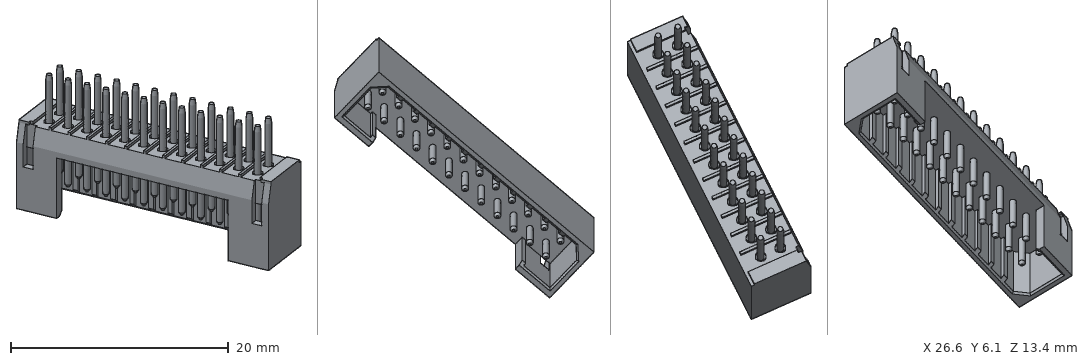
import cadquery as cq


length = 26.6
depth = 6.1
deck_height = 8.6
bevel_start = 6.75
bevel_run = 0.45

pins_per_row = 12
row_span = 22.0
pin_pitch = row_span / (pins_per_row - 1)
pin_radius = 0.32
pin_top = 13.4
shoulder_height = 12.85
shaft_bottom = 2.7
pin_bottom = 2.4
top_end_radius = 0.25
bottom_end_radius = 0.1
pin_recess_diameter = 0.98
pin_recess_depth = 0.27

pad_height = 0.3
pad_length = 1.33
pad_back_gap = 0.32
rib_height = 0.27
rib_width = 0.27
rib_back_gap = 0.45

ceiling = 6.17
front_wall = 0.72
back_wall = 0.6
end_wall = 0.6
corner_chamfer = 1.1
mouth_flare = 0.19
mouth_height = 0.8
mouth_taper = 45.0
back_rib_depth = 0.32
narrow_back_rib = 0.43
wide_back_rib = 0.53
window_rib_width = 0.43
window_rib_depth = 0.25

window_length = 18.1
slot_outer_margin = 0.72
slot_width = 1.05
slot_bottom = 4.42
slot_depth = 0.72
pad_notch_margin = 1.06
pad_notch_depth = 0.77


def block(x0, x1, y0, y1, z0, z1):
    """Box between two opposite corners."""
    return cq.Workplane("XY").box(x1 - x0, y1 - y0, z1 - z0, centered=False).translate((x0, y0, z0))


def both_ends(shape):
    """The shape together with its mirror image at the other end of the part."""
    return shape.union(shape.mirror("YZ"))


def gap_positions():
    """X positions midway between neighbouring pin columns."""
    middle = (pins_per_row - 2) / 2
    return [(i - middle) * pin_pitch for i in range(pins_per_row - 1)]


def make_housing():
    """Solid block whose front top edge is bevelled."""
    return (
        cq.Workplane("YZ")
        .moveTo(0, 0)
        .lineTo(depth, 0)
        .lineTo(depth, deck_height)
        .lineTo(bevel_run, deck_height)
        .lineTo(0, bevel_start)
        .close()
        .extrude(length / 2, both=True)
    )


def cavity_outline():
    """Rectangle with both rear corners chamfered."""
    half = length / 2 - end_wall
    rear = depth - back_wall
    corners = [
        (-half, front_wall),
        (half, front_wall),
        (half, rear - corner_chamfer),
        (half - corner_chamfer, rear),
        (corner_chamfer - half, rear),
        (-half, rear - corner_chamfer),
    ]
    return cq.Workplane("XY").polyline(corners).close()


def make_back_ribs():
    """Guide ribs on the rear wall, alternately wide and narrow."""
    rear = depth - back_wall
    ribs = cq.Workplane("XY")
    for i, x in enumerate(gap_positions()):
        width = wide_back_rib if i % 2 == 0 else narrow_back_rib
        ribs = ribs.add(block(x - width / 2, x + width / 2, rear - back_rib_depth, rear, 0, ceiling))
    return ribs.combine()


def make_window_ribs():
    """Ribs behind the front wall, flush with the two sides of the window."""
    start = window_length / 2
    back = front_wall + window_rib_depth
    return both_ends(block(start, start + window_rib_width, front_wall, back, 0, ceiling))


def make_cavity():
    """Ribbed cavity with a mouth that widens towards the bottom face."""
    cavity = cavity_outline().extrude(ceiling).cut(make_back_ribs()).cut(make_window_ribs())
    mouth = (
        cavity_outline()
        .offset2D(mouth_flare, "intersection")
        .extrude(mouth_height, taper=mouth_taper)
    )
    return cavity.union(mouth)


def make_front_openings():
    """Central window and the two end slots through the front wall."""
    window = block(-window_length / 2, window_length / 2, 0, front_wall, 0, ceiling)
    slot_start = slot_outer_margin - length / 2
    slot = block(slot_start, slot_start + slot_width, 0, slot_depth, slot_bottom, deck_height)
    return window.union(both_ends(slot))


def make_deck_pads():
    """Raised pads at both ends, notched at the front beside the slots."""
    outer = -length / 2
    top = deck_height + pad_height
    pad = block(outer, outer + pad_length, bevel_run, depth - pad_back_gap, deck_height, top)
    notch = block(outer + pad_notch_margin, outer + pad_length, 0, pad_notch_depth, deck_height, top)
    return both_ends(pad.cut(notch))


def make_deck_ribs():
    """Low ribs across the deck between the pin columns."""
    ribs = cq.Workplane("XY")
    for x in gap_positions():
        rib = block(
            x - rib_width / 2, x + rib_width / 2,
            bevel_run, depth - rib_back_gap,
            deck_height, deck_height + rib_height,
        )
        ribs = ribs.add(rib)
    return ribs.combine()


def pin_points():
    """Workplane with the pin axes as its points, in two rows centred on the housing."""
    return cq.Workplane("XY").center(0, depth / 2).rarray(pin_pitch, pin_pitch, pins_per_row, 2)


def make_pin():
    """Round pin with a tapered upper end and a pointed lower end."""
    return (
        cq.Workplane("XZ")
        .moveTo(0, pin_bottom)
        .lineTo(bottom_end_radius, pin_bottom)
        .lineTo(pin_radius, shaft_bottom)
        .lineTo(pin_radius, shoulder_height)
        .lineTo(top_end_radius, pin_top)
        .lineTo(0, pin_top)
        .close()
        .revolve(360, (0, 0, 0), (0, 1, 0))
        .val()
    )


pin = make_pin()
pins = pin_points().eachpoint(lambda place: pin.moved(place), combine=False)
recesses = pin_points().circle(pin_recess_diameter / 2).extrude(pin_recess_depth)
recesses = recesses.translate((0, 0, deck_height - pin_recess_depth))

result = make_housing().cut(make_cavity()).cut(make_front_openings()).cut(recesses)
result = result.union(make_deck_pads()).union(make_deck_ribs()).union(pins)